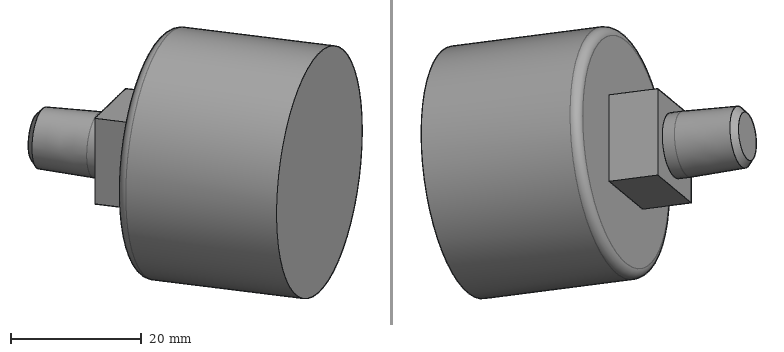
import cadquery as cq

case_diameter = 39.0
case_length = 26.0
case_edge_radius = 1.5

square_side = 14.0
square_length = 8.0

collar_diameter = 10.2
collar_length = 2.0
thread_length = 10.0
thread_tip_diameter = 9.5
tip_chamfer = 1.0

square_end_x = -square_length
collar_end_x = square_end_x - collar_length
tip_x = collar_end_x - thread_length


def make_case():
    """Round case with a rounded rim on the stem side."""
    case = cq.Workplane("YZ").circle(case_diameter / 2).extrude(case_length)
    return case.faces("<X").edges().fillet(case_edge_radius)


def make_square():
    """Square block between the case and the stem."""
    return cq.Workplane("YZ").rect(square_side, square_side).extrude(square_end_x)


def make_stem():
    """Collar and tapered stem, revolved about the X axis."""
    collar_radius = collar_diameter / 2
    tip_radius = thread_tip_diameter / 2
    taper_slope = (collar_radius - tip_radius) / thread_length
    chamfer_x = tip_x + tip_chamfer
    chamfer_radius = tip_radius + tip_chamfer * taper_slope
    profile = (
        cq.Workplane("XY")
        .moveTo(square_end_x, 0)
        .lineTo(square_end_x, collar_radius)
        .lineTo(collar_end_x, collar_radius)
        .lineTo(chamfer_x, chamfer_radius)
        .lineTo(tip_x, tip_radius - tip_chamfer)
        .lineTo(tip_x, 0)
        .close()
    )
    return profile.revolve(360, (0, 0, 0), (1, 0, 0))


result = make_case().union(make_square()).union(make_stem())